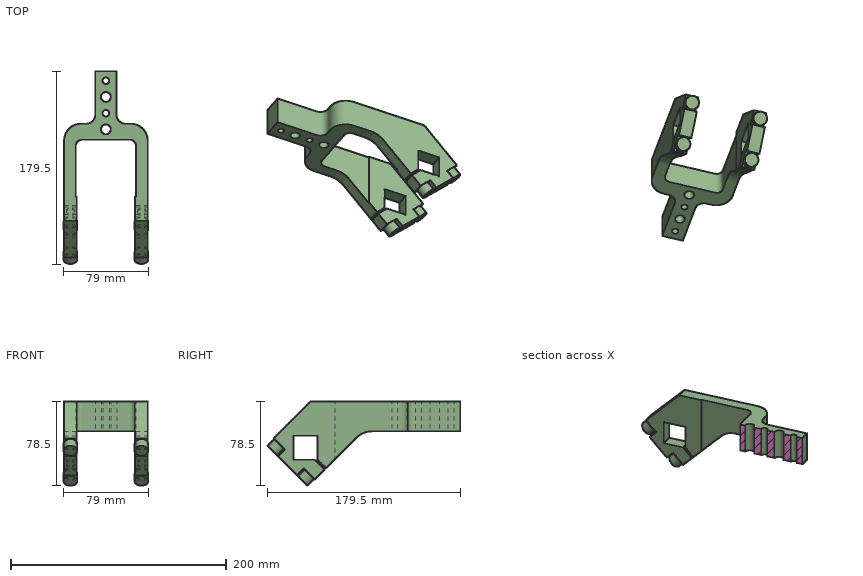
import cadquery as cq
import math

total_length = 179.5

body_height = 28.0
stem_width = 20.1
yoke_back = 48.8
yoke_front = 63.9
stem_fillet = 8.0
outer_radius = 16.0
inner_radius = 6.0
underside_fillet = 20.0

small_hole = 6.0
large_hole = 9.0
first_hole = 9.0
hole_spacing = 15.0

leg_center = 33.0
leg_thickness = 12.0
leg_relief = 0.99
relief_end = 116.8

slope = math.radians(45)
clamp_width = 54.2
clamp_length = 57.6
window_size = 22.0
window_to_end = 23.7
slot_width = 1.5

head_diameter = 13.0
head_height = 9.0
shank_diameter = 8.0
notch_width = 14.5
screw_inset = notch_width / 2

leg_outer = leg_center + leg_thickness / 2
leg_inner = leg_center - leg_thickness / 2
head_edge_inset = screw_inset - head_diameter / 2
bend_distance = total_length - (clamp_length - head_edge_inset) * math.cos(slope)
clamp_drop = (clamp_length + clamp_width) * math.sin(slope)
cut_through = 4 * leg_outer


def clamp_point(along, across):
    """Return (Y, Z) at a distance down the slope and a depth below the sloping top."""
    y = -bend_distance - along * math.cos(slope) + across * math.sin(slope)
    z = -along * math.sin(slope) - across * math.cos(slope)
    return y, z


def side_prism(points, width):
    """Extrude a YZ outline symmetrically about the middle plane."""
    return cq.Workplane("YZ").polyline(points).close().extrude(width / 2, both=True)


def clamp_block(along_start, along_end, across_start, across_end):
    """Block aligned with the slope, spanning both legs."""
    corners = [
        clamp_point(along_start, across_start),
        clamp_point(along_end, across_start),
        clamp_point(along_end, across_end),
        clamp_point(along_start, across_end),
    ]
    return side_prism(corners, cut_through)


def plan_box(width, back, front):
    """Full-depth box between two distances from the back end."""
    box = cq.Workplane("XY").box(width, front - back, clamp_drop, centered=(True, False, False))
    return box.translate((0, -front, -clamp_drop))


def make_plan():
    """Fork outline seen from above, extruded to the full depth."""
    stem = plan_box(stem_width, 0, yoke_front)
    fork = plan_box(2 * leg_outer, yoke_back, total_length)
    fork = fork.edges("|Z and >Y").fillet(outer_radius)
    body = stem.union(fork)
    for corner_x in (-stem_width / 2, stem_width / 2):
        corner = cq.selectors.NearestToPointSelector((corner_x, -yoke_back, -clamp_drop / 2))
        body = body.edges("|Z").edges(corner).fillet(stem_fillet)
    wide_gap = plan_box(2 * (leg_inner + leg_relief), yoke_front, relief_end)
    wide_gap = wide_gap.edges("|Z and >Y").fillet(inner_radius)
    narrow_gap = plan_box(2 * leg_inner, yoke_front + inner_radius, total_length)
    return body.cut(wide_gap).cut(narrow_gap)


def make_side():
    """Side outline with a level body and a sloping clamp end."""
    lower_end = clamp_point(clamp_length, clamp_width)
    bend_y = lower_end[0] - (body_height + lower_end[1]) / math.tan(slope)
    outline = [
        (0, 0),
        clamp_point(0, 0),
        clamp_point(clamp_length, 0),
        lower_end,
        (bend_y, -body_height),
        (0, -body_height),
    ]
    bend = cq.selectors.NearestToPointSelector((0, bend_y, -body_height))
    return side_prism(outline, cut_through).edges("|X").edges(bend).fillet(underside_fillet)


def cut_stem_holes(body):
    for index, diameter in enumerate([small_hole, large_hole, small_hole, large_hole]):
        y = -(first_hole + index * hole_spacing)
        hole = cq.Workplane("XY").center(0, y).circle(diameter / 2).extrude(-body_height)
        body = body.cut(hole)
    return body


def cut_clamp(body):
    """Cut the square window, the clamping slot and the screw notches."""
    window_along = clamp_length - window_to_end
    window_y, window_z = clamp_point(window_along, clamp_width / 2)
    window = cq.Workplane("XY").box(cut_through, window_size, window_size).translate((0, window_y, window_z))
    slot = clamp_block(window_along, window_along + slot_width, clamp_width / 2, clamp_width)
    notch_start = clamp_length - head_height
    upper_notch = clamp_block(notch_start, clamp_length, 0, notch_width)
    lower_notch = clamp_block(notch_start, clamp_length, clamp_width - notch_width, clamp_width)
    return body.cut(window).cut(slot).cut(upper_notch).cut(lower_notch)


def screw_cylinder(x, across, diameter, start, end):
    y, z = clamp_point(start, across)
    direction = cq.Vector(0, -math.cos(slope), -math.sin(slope))
    return cq.Solid.makeCylinder(diameter / 2, end - start, cq.Vector(x, y, z), direction)


def add_screws(body):
    """Add the screw heads and the shanks that bridge the slots."""
    head_start = clamp_length - head_height
    slot_start = clamp_length - window_to_end
    lower_screw = clamp_width - screw_inset
    for x in (-leg_center, leg_center):
        for across in (screw_inset, lower_screw):
            body = body.union(screw_cylinder(x, across, head_diameter, head_start, clamp_length))
        shank = screw_cylinder(x, lower_screw, shank_diameter, slot_start, slot_start + slot_width)
        body = body.union(shank)
    return body


body = make_plan().intersect(make_side())
body = cut_stem_holes(body)
body = cut_clamp(body)
result = add_screws(body)